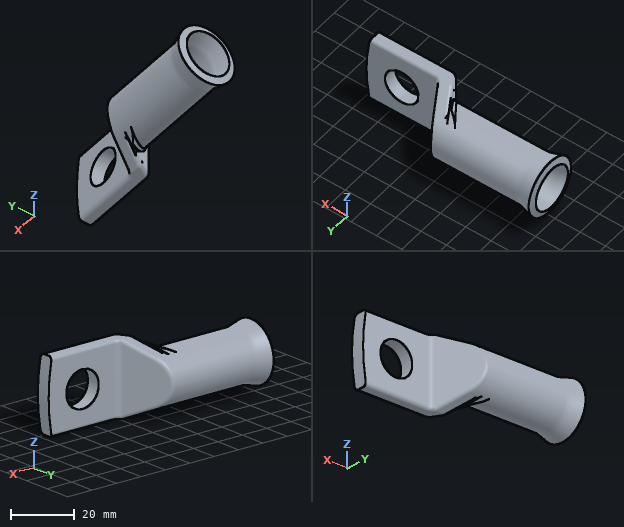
import cadquery as cq
import math

length = 78.35
palm_width = 27.0

barrel_radius = 9.55
bore_radius = 6.8
wall = barrel_radius - bore_radius
bore_depth = 36.05
mouth_radius = 11.05
lip_setback = 0.8
mouth_bore_radius = mouth_radius - wall
flare_end = 7.45
flare_bend_start = 5.3
flare_bend_rise = 0.3
flare_bend_middle_rise = 0.1

palm_front = -12.0
palm_thickness = 5.4
palm_back = palm_front + palm_thickness
web_angle = 60.5
web_top_x = 40.75
shoulder_slope = 25.6
shoulder_rise = math.tan(math.radians(shoulder_slope))
shoulder_tangent_y = barrel_radius * math.sin(math.radians(shoulder_slope))
shoulder_tangent_z = barrel_radius * math.cos(math.radians(shoulder_slope))
shoulder_corner_y = shoulder_tangent_y - (palm_width / 2 - shoulder_tangent_z) / shoulder_rise
inner_bend_radius = 2.8
outer_bend_radius = 3.1
edge_radius = 1.5
shoulder_corner_radius = 1.6

root_tip_x = 35.0
root_heel_x = 44.7
root_spread = 3.2
root_shift = 1.95
root_embed = 0.6
root_overlap = 0.1

end_bulge = 1.3
hole_x = 64.4
hole_radius = 6.6


def flared_round(end_x, radius, mouth_points):
    """Round body with a flared mouth and a small bend into the straight."""
    bend_middle = (flare_bend_start + flare_end) / 2
    return (
        cq.Workplane("XY")
        .polyline([(0, 0), *mouth_points])
        .lineTo(flare_bend_start, radius + flare_bend_rise)
        .threePointArc((bend_middle, radius + flare_bend_middle_rise), (flare_end, radius))
        .lineTo(end_x, radius)
        .lineTo(end_x, 0)
        .close()
        .revolve(360, (0, 0, 0), (1, 0, 0))
    )


def web_back_x(y):
    """X of the slanted back face at height y."""
    return web_top_x + (barrel_radius - y) / math.tan(math.radians(web_angle))


def web_front_x(y):
    """X of the slanted front face at height y."""
    return web_back_x(y) - palm_thickness / math.sin(math.radians(web_angle))


def bent_strip():
    """Constant-thickness bent strip, extruded across the palm width."""
    strip = (
        cq.Workplane("XY")
        .moveTo(web_back_x(barrel_radius), barrel_radius)
        .lineTo(web_back_x(palm_back), palm_back)
        .lineTo(length, palm_back)
        .lineTo(length, palm_front)
        .lineTo(web_front_x(palm_front), palm_front)
        .lineTo(web_front_x(barrel_radius), barrel_radius)
        .close()
        .extrude(palm_width / 2, both=True)
    )
    inner_bend = cq.selectors.NearestToPointSelector((web_back_x(palm_back), palm_back, 0))
    outer_bend = cq.selectors.NearestToPointSelector((web_front_x(palm_front), palm_front, 0))
    strip = strip.edges(inner_bend).fillet(inner_bend_radius)
    return strip.edges(outer_bend).fillet(outer_bend_radius)


def mirrored_edges(point):
    """Selector for the edge nearest to a point and its mirror across Z = 0."""
    x, y, z = point
    upper = cq.selectors.NearestToPointSelector((x, y, z))
    lower = cq.selectors.NearestToPointSelector((x, y, -z))
    return upper + lower


def shoulder_envelope():
    """Cross-section whose shoulders run tangent from the barrel out to the palm width."""
    half_width = palm_width / 2
    return (
        cq.Workplane("YZ")
        .moveTo(palm_front, -half_width)
        .lineTo(shoulder_corner_y, -half_width)
        .lineTo(shoulder_tangent_y, -shoulder_tangent_z)
        .threePointArc((barrel_radius, 0), (shoulder_tangent_y, shoulder_tangent_z))
        .lineTo(shoulder_corner_y, half_width)
        .lineTo(palm_front, half_width)
        .close()
        .extrude(length)
    )


def palm_end_envelope():
    """Plan outline of the palm with its gently bowed end."""
    half_width = palm_width / 2
    corner_x = length - end_bulge
    return (
        cq.Workplane("XZ")
        .moveTo(0, -half_width)
        .lineTo(corner_x, -half_width)
        .threePointArc((length, 0), (corner_x, half_width))
        .lineTo(0, half_width)
        .close()
        .extrude(palm_width, both=True)
    )


def round_shoulder_corners(strip):
    """Soften the corners where the shoulders reach the palm width."""
    middle_x = (web_back_x(shoulder_corner_y) + web_front_x(shoulder_corner_y)) / 2
    corner = (middle_x, shoulder_corner_y, palm_width / 2)
    return strip.edges(mirrored_edges(corner)).fillet(shoulder_corner_radius)


def round_rim(body, palm_face_y):
    """Round both long edges of a palm face and the smooth rim that continues them."""
    palm_edge = (hole_x, palm_face_y, palm_width / 2)
    return body.edges(mirrored_edges(palm_edge)).fillet(edge_radius)


def root_section(tilt_x, centre_x, centre_y, radius):
    """Tilted ellipse that looks like a circle of the given radius along X.

    tilt_x is how far the section moves along +X for each unit moved along -Y.
    """
    stretch = math.hypot(1, tilt_x)
    ellipse = cq.Edge.makeEllipse(
        radius * stretch,
        radius,
        pnt=cq.Vector(centre_x, centre_y, 0),
        dir=cq.Vector(1, tilt_x, 0),
        xdir=cq.Vector(-tilt_x, 1, 0),
    )
    return cq.Wire.assembleEdges([ellipse])


def root():
    """Flared collar between barrel and web, trimmed to the shoulders."""
    barrel_tilt = (root_heel_x - root_tip_x) / (shoulder_tangent_y + barrel_radius)
    web_tilt = 1 / math.tan(math.radians(web_angle))
    barrel_centre_x = root_tip_x + shoulder_tangent_y * barrel_tilt
    web_centre_x = web_front_x(0) + root_embed
    sections = []
    for along, outward in ((0, 0), (2 / 3, 1 / 3), (1, 1)):
        centre_y = root_shift * outward
        tilt = barrel_tilt + (web_tilt - barrel_tilt) * along
        axis_x = barrel_centre_x + (web_centre_x - barrel_centre_x) * along
        radius = barrel_radius - root_overlap + root_spread * outward
        sections.append(root_section(tilt, axis_x - centre_y * tilt, centre_y, radius))
    collar = cq.Workplane(cq.Solid.makeLoft(sections, True))
    trim = (
        cq.Workplane("YZ")
        .moveTo(palm_front, -palm_width / 2)
        .lineTo(shoulder_corner_y, -palm_width / 2)
        .lineTo(shoulder_tangent_y, -shoulder_tangent_z)
        .lineTo(shoulder_tangent_y, shoulder_tangent_z)
        .lineTo(shoulder_corner_y, palm_width / 2)
        .lineTo(palm_front, palm_width / 2)
        .close()
        .extrude(length)
    )
    return collar.intersect(trim)


def bolt_hole():
    """Round hole through the palm."""
    return (
        cq.Workplane("XZ")
        .center(hole_x, 0)
        .circle(hole_radius)
        .extrude(palm_width, both=True)
    )


def barrel():
    """Flared solid barrel sliced off along the slanted back face."""
    mouth = [(0, mouth_bore_radius), (lip_setback, mouth_radius)]
    blank = flared_round(web_back_x(-barrel_radius), barrel_radius, mouth)
    keep = (
        cq.Workplane("XY")
        .moveTo(0, mouth_radius)
        .lineTo(web_back_x(mouth_radius), mouth_radius)
        .lineTo(web_back_x(-mouth_radius), -mouth_radius)
        .lineTo(0, -mouth_radius)
        .close()
        .extrude(mouth_radius, both=True)
    )
    return blank.intersect(keep)


def bore():
    """Blind wire bore that follows the flare of the barrel."""
    return flared_round(bore_depth, bore_radius, [(0, mouth_bore_radius)])


tongue = round_shoulder_corners(bent_strip().intersect(shoulder_envelope()))
tongue = round_rim(tongue, palm_front)
body = round_rim(barrel().union(tongue), palm_back)
body = body.union(root()).intersect(palm_end_envelope())
result = body.cut(bolt_hole()).cut(bore())